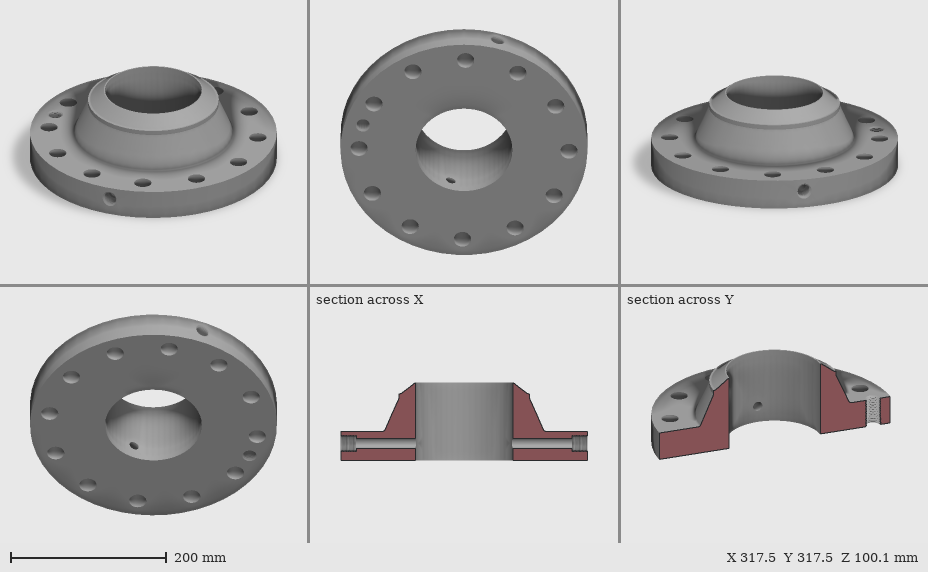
import cadquery as cq
import math

flange_diameter = 317.5
flange_thickness = 38.1
overall_height = 100.08

bore_diameter = 124.4
neck_diameter = 168.3
hub_base_diameter = 206.0
neck_height = 5.8
weld_land = 1.6
bevel_angle = 37.5
shoulder_width = 2.5
corner_fillet_radius = 3.0

bolt_count = 12
bolt_circle_diameter = 269.9
bolt_hole_diameter = 22.2

jack_minor_diameter = 16.4
jack_major_diameter = 20.4
jack_thread_pitch = 2.5
tap_minor_diameter = 17.0
tap_major_diameter = 20.5
tap_thread_pitch = 1.8
tap_thread_turns = 11
tap_bore_diameter = 12.7
tap_height = 22.1

selection_margin = 0.1


def circle_edge_selector(radius, height):
    """Selector for the circular edge of a given radius, centred on Z at a given height."""
    reach = radius + selection_margin
    inner = radius - selection_margin
    outer_box = cq.selectors.BoxSelector(
        (-reach, -reach, height - selection_margin),
        (reach, reach, height + selection_margin),
        boundingbox=True,
    )
    inner_box = cq.selectors.BoxSelector(
        (-inner, -inner, height - selection_margin),
        (inner, inner, height + selection_margin),
        boundingbox=True,
    )
    return outer_box - inner_box


def make_body():
    """Revolved flange plate with the hub and weld end, bored through."""
    bore_radius = bore_diameter / 2
    neck_radius = neck_diameter / 2
    hub_radius = hub_base_diameter / 2
    land_radius = bore_radius + weld_land
    bevel_radius = neck_radius - shoulder_width
    bevel_drop = (bevel_radius - land_radius) * math.tan(math.radians(bevel_angle))
    shoulder_z = overall_height - bevel_drop
    body = (
        cq.Workplane("XZ")
        .moveTo(bore_radius, 0)
        .lineTo(flange_diameter / 2, 0)
        .lineTo(flange_diameter / 2, flange_thickness)
        .lineTo(hub_radius, flange_thickness)
        .lineTo(neck_radius, shoulder_z - neck_height)
        .lineTo(neck_radius, shoulder_z)
        .lineTo(bevel_radius, shoulder_z)
        .lineTo(land_radius, overall_height)
        .lineTo(bore_radius, overall_height)
        .close()
        .revolve(360, (0, 0, 0), (0, 1, 0))
    )
    hub_foot = circle_edge_selector(hub_radius, flange_thickness)
    bevel_corner = circle_edge_selector(bevel_radius, shoulder_z)
    body = body.edges(hub_foot).fillet(corner_fillet_radius)
    return body.edges(bevel_corner).fillet(corner_fillet_radius)


def make_bolt_holes():
    """Ring of clearance holes straddling both centre lines."""
    half_step = 180 / bolt_count
    return (
        cq.Workplane("XY")
        .polarArray(bolt_circle_diameter / 2, half_step, 360, bolt_count)
        .circle(bolt_hole_diameter / 2)
        .extrude(flange_thickness)
    )


def make_thread_cutter(minor_diameter, major_diameter, pitch, turns):
    """Cylinder along +Z from the origin, with V-shaped ring ridges standing in for a thread."""
    minor_radius = minor_diameter / 2
    major_radius = major_diameter / 2
    profile = cq.Workplane("XZ").moveTo(0, 0).lineTo(major_radius, 0)
    for turn in range(turns):
        profile = profile.lineTo(minor_radius, (turn + 0.5) * pitch)
        profile = profile.lineTo(major_radius, (turn + 1) * pitch)
    return profile.lineTo(0, turns * pitch).close().revolve(360, (0, 0, 0), (0, 1, 0))


def make_jack_screw_hole():
    """Threaded hole through the plate on the -X side of the bolt circle."""
    turns = math.ceil(flange_thickness / jack_thread_pitch)
    cutter = make_thread_cutter(jack_minor_diameter, jack_major_diameter, jack_thread_pitch, turns)
    lowered = flange_thickness - turns * jack_thread_pitch
    return cutter.translate((-bolt_circle_diameter / 2, 0, lowered))


def make_pressure_taps():
    """Radial bore through the plate along Y, threaded at both outer ends."""
    bore = (
        cq.Workplane("XZ")
        .circle(tap_bore_diameter / 2)
        .extrude(flange_diameter / 2, both=True)
    )
    thread = make_thread_cutter(
        tap_minor_diameter, tap_major_diameter, tap_thread_pitch, tap_thread_turns
    )
    front_thread = thread.rotate((0, 0, 0), (1, 0, 0), -90).translate((0, -flange_diameter / 2, 0))
    back_thread = front_thread.mirror("XZ")
    return bore.union(front_thread).union(back_thread).translate((0, 0, tap_height))


result = make_body().cut(make_bolt_holes()).cut(make_jack_screw_hole()).cut(make_pressure_taps())